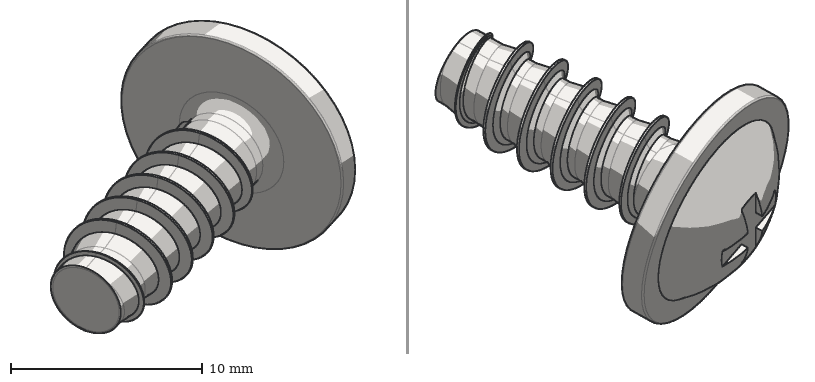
import cadquery as cq
import math


collar_radius = 13.5 / 2
collar_thickness = 1.4
collar_edge_round = 0.1
dome_base_radius = 5.33
head_height = 3.88
slot_width = 1.32
slot_depth = 0.41

shank_length = 15.0
neck_length = 1.45
neck_radius = 2.37
neck_fillet = 0.8
neck_cone_length = 1.0
cone_end_radius = 2.12
core_radius = 2.13
tip_dimple_depth = 0.15
tip_dimple_radius = 2.02

pitch = 2.14
crest_radius = 3.0
crest_half_width = 0.07
flank_break_radius = 2.47
flank_break_offset = 0.19
root_offset = 0.42
ramp_start_radius = 2.34
ramp_start_offset = 0.22
ramp_end_offset = 1.27

ridge_on_plus_z = -3.23
full_height_begin = -3.35
full_height_end = -11.9
fade_in_length = 4.2
fade_out_length = shank_length + full_height_end
ramp_fade_begin = -13.4
ramp_fade_length = 0.8
least_height_fraction = 0.03
points_per_turn = 16


def height_fraction(y):
    """Share of the full ridge height where the ridge centre is at y."""
    fade_in = 1 - (y - full_height_begin) / fade_in_length
    fade_out = 1 - (full_height_end - y) / fade_out_length
    return max(least_height_fraction, min(1, fade_in, fade_out))


def ramp_height(y):
    """Height of the ramp start above the core, never more than the ridge itself."""
    fade_out = 1 - (ramp_fade_begin - y) / ramp_fade_length
    ramp_fraction = max(least_height_fraction, min(1, fade_out))
    ridge_now = (crest_radius - core_radius) * height_fraction(y)
    return min((ramp_start_radius - core_radius) * ramp_fraction, ridge_now)


def thread_section(y):
    """(axial offset, radius) corners of one thread turn, from the head side to the tip side."""
    fraction = height_fraction(y)

    def ridge_corner(offset, radius):
        return offset * fraction, core_radius + (radius - core_radius) * fraction

    return [
        ridge_corner(root_offset, core_radius),
        ridge_corner(flank_break_offset, flank_break_radius),
        ridge_corner(crest_half_width, crest_radius),
        ridge_corner(-crest_half_width, crest_radius),
        (-ramp_start_offset * fraction, core_radius + ramp_height(y)),
        (-ramp_end_offset, core_radius),
    ]


def helix_edge(corner, start_y):
    """One right-handed turn traced by a corner of the thread section."""
    points = []
    for step in range(points_per_turn + 1):
        y = start_y - pitch * step / points_per_turn
        angle = 2 * math.pi * (y - ridge_on_plus_z) / pitch
        offset, radius = thread_section(y)[corner]
        points.append(cq.Vector(radius * math.sin(angle), y + offset, radius * math.cos(angle)))
    return cq.Edge.makeSpline(points)


def end_cap(helix, corners, axis_near, axis_far):
    """Helicoid from one turn of helix to the axis, and the flat step that closes it."""
    axis = cq.Edge.makeLine(axis_near, axis_far)
    step_outline = cq.Wire.makePolygon([axis_near] + corners + [axis_far], close=True)
    return [cq.Face.makeRuledSurface(helix, axis), cq.Face.makeFromWires(step_outline)]


def make_threaded_core():
    """Core with its ramps and the ridge, cut square at both ends."""
    first_turn_y = ridge_on_plus_z + 2 * pitch
    turns = math.ceil((first_turn_y + shank_length) / pitch) + 1
    corner_count = len(thread_section(first_turn_y))

    helices = []
    for turn in range(turns):
        for corner in range(corner_count):
            helices.append(helix_edge(corner, first_turn_y - turn * pitch))
    last_helix = helix_edge(0, first_turn_y - turns * pitch)
    helices.append(last_helix)
    faces = [cq.Face.makeRuledSurface(a, b) for a, b in zip(helices, helices[1:])]

    first_corners = [helix.startPoint() for helix in helices[: corner_count + 1]]
    last_corners = [helix.endPoint() for helix in helices[-corner_count - 1 :]]
    for helix, corners in ((helices[0], first_corners), (last_helix, last_corners)):
        axis_near = cq.Vector(0, helix.startPoint().y, 0)
        axis_far = cq.Vector(0, helix.endPoint().y, 0)
        faces += end_cap(helix, corners, axis_near, axis_far)

    body = cq.Solid.makeSolid(cq.Shell.makeShell(faces))
    threaded_zone = (
        cq.Workplane("XZ", origin=(0, -neck_length, 0))
        .circle(collar_radius)
        .extrude(shank_length - neck_length)
    )
    return threaded_zone.intersect(cq.Workplane(obj=body))


def make_neck():
    """Plain neck with its fillet under the collar and a cone down to the core."""
    fillet_mid = neck_fillet * (1 - math.sqrt(0.5))
    profile = (
        cq.Workplane("XY")
        .moveTo(0, collar_thickness / 2)
        .lineTo(neck_radius + neck_fillet, collar_thickness / 2)
        .lineTo(neck_radius + neck_fillet, 0)
        .threePointArc((neck_radius + fillet_mid, -fillet_mid), (neck_radius, -neck_fillet))
        .lineTo(neck_radius, -neck_length)
        .lineTo(cone_end_radius, -neck_length - neck_cone_length)
        .lineTo(0, -neck_length - neck_cone_length)
        .close()
    )
    return profile.revolve(360, (0, 0, 0), (0, 1, 0))


def make_tip_dimple():
    """Shallow cone sunk into the flat tip."""
    profile = (
        cq.Workplane("XY")
        .moveTo(0, -shank_length + tip_dimple_depth)
        .lineTo(tip_dimple_radius, -shank_length)
        .lineTo(0, -shank_length)
        .close()
    )
    return profile.revolve(360, (0, 0, 0), (0, 1, 0))


def make_head():
    """Collar and spherical dome with two crossed slots."""
    collar = cq.Workplane("XZ").circle(collar_radius).extrude(-collar_thickness)
    collar = collar.edges().fillet(collar_edge_round)

    corner_radius = slot_width * math.sqrt(0.5)
    corner_height = head_height - collar_thickness
    centre_drop = (dome_base_radius**2 - corner_radius**2 - corner_height**2) / (2 * corner_height)
    sphere_radius = math.hypot(dome_base_radius, centre_drop)
    apex = collar_thickness + sphere_radius - centre_drop
    mid_radius = dome_base_radius / 2
    mid_height = collar_thickness - centre_drop + math.sqrt(sphere_radius**2 - mid_radius**2)
    dome = (
        cq.Workplane("XY")
        .moveTo(0, collar_thickness / 2)
        .lineTo(dome_base_radius, collar_thickness / 2)
        .lineTo(dome_base_radius, collar_thickness)
        .threePointArc((mid_radius, mid_height), (0, apex))
        .close()
        .revolve(360, (0, 0, 0), (0, 1, 0))
    )
    head = collar.union(dome)
    slot_length = 2 * collar_radius
    slot_floor = cq.Workplane("XZ", origin=(0, head_height - slot_depth, 0))
    for length_x, length_z in ((slot_length, slot_width), (slot_width, slot_length)):
        head = head.cut(slot_floor.rect(length_x, length_z).extrude(-head_height))
    return head


screw = make_head().union(make_neck()).union(make_threaded_core()).cut(make_tip_dimple())
result = screw.solids()